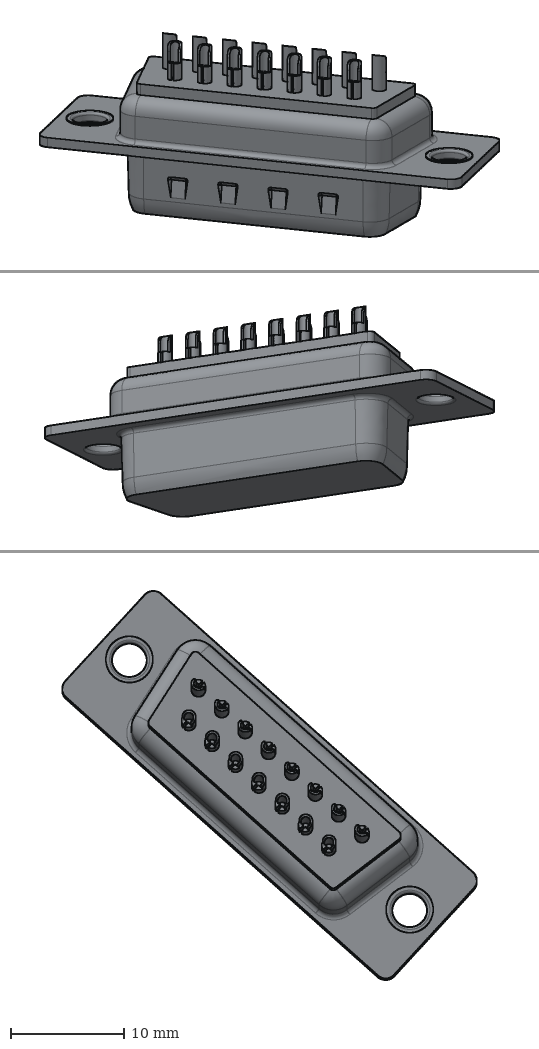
import cadquery as cq
import math

SIDE_SLANT = math.radians(10)

FLANGE_LENGTH = 39.15
FLANGE_WIDTH = 12.5
FLANGE_THICKNESS = 0.9
FLANGE_CORNER_RADIUS = 1.0

MOUNT_OFFSET = 16.68
MOUNT_HOLE_DIAMETER = 3.05
MOUNT_LEAD_IN = 0.25
PAD_DIAMETER = 4.15
PAD_HEIGHT = 0.08

REAR_HALF_WIDTH = 5.35
REAR_HALF_LENGTH = 13.27
REAR_HEIGHT = 4.05
REAR_CORNER_RADIUS = 1.9
REAR_TOP_RADIUS = 1.5
ROOT_RADIUS = 0.45

INSULATOR_TOP = 5.05

MATING_HALF_WIDTH = 4.7
MATING_HALF_LENGTH = 12.72
MATING_CORNER_RADIUS = 2.05
MATING_BOTTOM = -6.85
MATING_DRAFT = 1.5
NOSE_START = -5.32
NOSE_RADIUS = 3.33
NOSE_SECTIONS = 4

DIMPLE_COUNT = 4
DIMPLE_PITCH = 4.65
DIMPLE_TOP = -3.35
DIMPLE_FLOOR_WIDTH = 1.35
DIMPLE_HEIGHT = 1.7
DIMPLE_DEPTH = 0.27
DIMPLE_TAPER = 40

PIN_PITCH = 2.78
PIN_ROW_OFFSET = 1.4
PIN_DIAMETER = 1.25
PIN_BORE_DIAMETER = 0.82
PIN_SLIT_WIDTH = 0.2
PIN_TOP = 8.35
PIN_STEP = 6.6
CUP_OPENING_OFFSET = 0.15
BACK_ROW_COUNT = 8
FRONT_ROW_COUNT = 7

SELECT_MARGIN = 0.05


def d_outline(half_width, half_length, corner_radius, height):
    """Closed D-shaped wire, wider at +Y, with rounded corners."""
    lean = half_width * math.tan(SIDE_SLANT)
    wide = half_length + lean
    narrow = half_length - lean
    corners = [
        cq.Vector(-wide, half_width, height),
        cq.Vector(-narrow, -half_width, height),
        cq.Vector(narrow, -half_width, height),
        cq.Vector(wide, half_width, height),
    ]
    wire = cq.Wire.makePolygon(corners, close=True)
    return wire.fillet2D(corner_radius, wire.Vertices())


def inset_outline(half_width, half_length, corner_radius, inset, height):
    """D outline moved inwards by a constant distance."""
    return d_outline(
        half_width - inset,
        half_length - inset / math.cos(SIDE_SLANT),
        corner_radius - inset,
        height,
    )


def prism(wire, height):
    return cq.Workplane(obj=cq.Solid.extrudeLinear(wire, [], cq.Vector(0, 0, height)))


def make_flange():
    return (
        cq.Workplane("XY")
        .rect(FLANGE_LENGTH, FLANGE_WIDTH)
        .extrude(-FLANGE_THICKNESS)
        .edges("|Z")
        .fillet(FLANGE_CORNER_RADIUS)
    )


def make_rear_shell():
    outline = d_outline(REAR_HALF_WIDTH, REAR_HALF_LENGTH, REAR_CORNER_RADIUS, 0)
    return prism(outline, REAR_HEIGHT).faces(">Z").edges().fillet(REAR_TOP_RADIUS)


def make_insulator():
    outline = inset_outline(
        REAR_HALF_WIDTH, REAR_HALF_LENGTH, REAR_CORNER_RADIUS, REAR_TOP_RADIUS, 0
    )
    return prism(outline, INSULATOR_TOP)


def mating_section(inset, height):
    return inset_outline(
        MATING_HALF_WIDTH, MATING_HALF_LENGTH, MATING_CORNER_RADIUS, inset, height
    )


def make_mating_shell():
    """Drafted wall ending in a nose whose sides curve inwards."""
    draft = math.tan(math.radians(MATING_DRAFT))
    wall_top = -FLANGE_THICKNESS
    wall_inset = draft * (wall_top - NOSE_START)
    wall = cq.Solid.makeLoft(
        [mating_section(0, wall_top), mating_section(wall_inset, NOSE_START)], True
    )
    nose_sections = []
    for i in range(NOSE_SECTIONS):
        drop = (NOSE_START - MATING_BOTTOM) * i / (NOSE_SECTIONS - 1)
        curve = NOSE_RADIUS - math.sqrt(NOSE_RADIUS**2 - drop**2)
        nose_sections.append(mating_section(wall_inset + curve, NOSE_START - drop))
    nose = cq.Solid.makeLoft(nose_sections, False)
    return cq.Workplane(obj=wall).union(cq.Workplane(obj=nose))


def box_around(x, height, length, width):
    """Selector for edges lying flat at this height within a rectangle about (x, 0)."""
    return cq.selectors.BoxSelector(
        (x - length / 2 - SELECT_MARGIN, -width / 2 - SELECT_MARGIN, height - SELECT_MARGIN),
        (x + length / 2 + SELECT_MARGIN, width / 2 + SELECT_MARGIN, height + SELECT_MARGIN),
        boundingbox=True,
    )


def fillet_root(body, half_width, half_length, height):
    """Round the joint between a shell and the flange face at this height."""
    wide_half_length = half_length + half_width * math.tan(SIDE_SLANT)
    joint = box_around(0, height, 2 * wide_half_length, 2 * half_width)
    return body.edges(joint).fillet(ROOT_RADIUS)


def round_hole_rims(body, height):
    """Round the mounting hole edges lying at this height."""
    for x in (-MOUNT_OFFSET, MOUNT_OFFSET):
        body = body.edges(box_around(x, height, MOUNT_HOLE_DIAMETER, MOUNT_HOLE_DIAMETER))
        body = body.fillet(MOUNT_LEAD_IN)
    return body


def add_mounts(body):
    places = [(-MOUNT_OFFSET, 0), (MOUNT_OFFSET, 0)]
    pads = cq.Workplane("XY").pushPoints(places).circle(PAD_DIAMETER / 2).extrude(PAD_HEIGHT)
    holes = (
        cq.Workplane("XY", origin=(0, 0, PAD_HEIGHT))
        .pushPoints(places)
        .circle(MOUNT_HOLE_DIAMETER / 2)
        .extrude(-PAD_HEIGHT - FLANGE_THICKNESS)
    )
    body = body.union(pads).cut(holes)
    return round_hole_rims(round_hole_rims(body, PAD_HEIGHT), -FLANGE_THICKNESS)


def make_dimples():
    """Pockets in the -Y face, deep at the top and running out at the bottom."""
    middle = DIMPLE_TOP - DIMPLE_HEIGHT / 2
    draft = math.tan(math.radians(MATING_DRAFT))
    face_y = -MATING_HALF_WIDTH + draft * (-FLANGE_THICKNESS - middle)
    floor_centre = (0, face_y + DIMPLE_DEPTH / 2, middle)
    floor = cq.Plane(
        origin=floor_centre, xDir=(1, 0, 0), normal=(0, -DIMPLE_HEIGHT, DIMPLE_DEPTH)
    )
    return (
        cq.Workplane(floor)
        .rarray(DIMPLE_PITCH, 0.4, DIMPLE_COUNT, 1)
        .rect(DIMPLE_FLOOR_WIDTH, DIMPLE_HEIGHT)
        .extrude(2 * DIMPLE_DEPTH, taper=-DIMPLE_TAPER)
    )


def make_pin():
    """Solder cup on the Z axis, open towards -Y."""
    pin_radius = PIN_DIAMETER / 2
    pin = (
        cq.Workplane("XY", origin=(0, 0, INSULATOR_TOP))
        .circle(pin_radius)
        .extrude(PIN_TOP - INSULATOR_TOP)
    )
    inner_side = cq.Workplane("XY", origin=(0, -CUP_OPENING_OFFSET, 0)).box(
        PIN_DIAMETER, PIN_DIAMETER, PIN_TOP, centered=(True, False, False)
    )
    bore = (
        cq.Workplane("XY", origin=(0, 0, INSULATOR_TOP))
        .circle(PIN_BORE_DIAMETER / 2)
        .extrude(PIN_TOP - INSULATOR_TOP)
        .intersect(inner_side)
    )
    slit = cq.Workplane("XY").box(
        PIN_SLIT_WIDTH, pin_radius, PIN_TOP, centered=(True, False, False)
    ).translate((0, -pin_radius, INSULATOR_TOP))
    tip_radius = pin_radius + CUP_OPENING_OFFSET
    opening = (
        cq.Workplane("YZ", origin=(-pin_radius, 0, 0))
        .moveTo(-pin_radius, PIN_STEP)
        .lineTo(-CUP_OPENING_OFFSET, PIN_STEP)
        .lineTo(-CUP_OPENING_OFFSET, PIN_TOP - tip_radius)
        .radiusArc((pin_radius, PIN_TOP), tip_radius)
        .lineTo(-pin_radius, PIN_TOP)
        .close()
        .extrude(PIN_DIAMETER)
    )
    return pin.cut(bore).cut(slit).cut(opening)


def add_pin_row(body, pin, count, y):
    for i in range(count):
        x = (i - (count - 1) / 2) * PIN_PITCH
        body = body.union(pin.translate((x, y, 0)))
    return body


result = make_flange().union(make_rear_shell()).union(make_mating_shell())
result = fillet_root(result, REAR_HALF_WIDTH, REAR_HALF_LENGTH, 0)
result = fillet_root(result, MATING_HALF_WIDTH, MATING_HALF_LENGTH, -FLANGE_THICKNESS)
result = add_mounts(result).union(make_insulator()).cut(make_dimples())

front_pin = make_pin()
back_pin = front_pin.rotate((0, 0, 0), (0, 0, 1), 180)
result = add_pin_row(result, front_pin, FRONT_ROW_COUNT, -PIN_ROW_OFFSET)
result = add_pin_row(result, back_pin, BACK_ROW_COUNT, PIN_ROW_OFFSET)